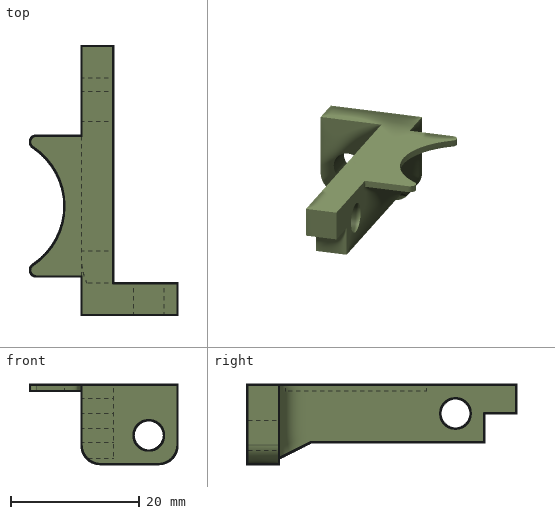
import cadquery as cq
import math

OVERSIZE = 1.0
HOLE_DIAMETER = 4.7

BAR_LENGTH = 42.0
BAR_WIDTH = 5.0
BAR_HEIGHT = 9.0
STEP_LENGTH = 5.0
STEP_HEIGHT = BAR_HEIGHT / 2
BAR_HOLE_FROM_END = 9.5
BAR_HOLE_Y = BAR_LENGTH - BAR_HOLE_FROM_END
BAR_HOLE_Z = -BAR_HEIGHT / 2

FOOT_WIDTH = 15.0
FOOT_THICKNESS = 5.0
FOOT_HEIGHT = 12.42
FOOT_CORNER_RADIUS = 3.0
FOOT_HOLE_INSET = 4.5
FOOT_HOLE_X = FOOT_WIDTH - FOOT_HOLE_INSET
FOOT_HOLE_Z = FOOT_HOLE_INSET - FOOT_HEIGHT

GUSSET_RUN = 5.0
GUSSET_DROP = GUSSET_RUN / 2

CRADLE_THICKNESS = 1.0
CRADLE_REACH = 8.04
CRADLE_WIDTH = 22.0
CRADLE_FROM_END = 14.0
CRADLE_CENTER_Y = BAR_LENGTH - CRADLE_FROM_END - CRADLE_WIDTH / 2
CRADLE_RADIUS = 11.0
TIP_RADIUS = 1.0


def make_bar():
    """Bar with its rear step and the gusset below its front end, as one side profile."""
    step_y = BAR_LENGTH - STEP_LENGTH
    gusset_end_y = FOOT_THICKNESS + GUSSET_RUN
    gusset_bottom = -BAR_HEIGHT - GUSSET_DROP
    return (
        cq.Workplane("YZ")
        .moveTo(0, 0)
        .lineTo(BAR_LENGTH, 0)
        .lineTo(BAR_LENGTH, -STEP_HEIGHT)
        .lineTo(step_y, -STEP_HEIGHT)
        .lineTo(step_y, -BAR_HEIGHT)
        .lineTo(gusset_end_y, -BAR_HEIGHT)
        .lineTo(FOOT_THICKNESS, gusset_bottom)
        .lineTo(0, gusset_bottom)
        .close()
        .extrude(BAR_WIDTH)
    )


def make_rounded_plate(length):
    """Plate with the foot outline and its rounded lower corners, extruded from Y = 0 to the given length."""
    return (
        cq.Workplane("XY")
        .box(FOOT_WIDTH, length, FOOT_HEIGHT, centered=False)
        .translate((0, 0, -FOOT_HEIGHT))
        .edges("|Y and <Z")
        .fillet(FOOT_CORNER_RADIUS)
    )


def make_cradle():
    """Flange whose concave arc runs tangent into the two round tips."""
    half_width = CRADLE_WIDTH / 2
    tip_x = TIP_RADIUS - CRADLE_REACH
    tip_y = half_width - TIP_RADIUS
    center_distance = CRADLE_RADIUS + TIP_RADIUS
    arc_center_x = tip_x - math.sqrt(center_distance**2 - tip_y**2)
    tangent_x = arc_center_x + (tip_x - arc_center_x) * CRADLE_RADIUS / center_distance
    tangent_y = tip_y * CRADLE_RADIUS / center_distance
    return (
        cq.Workplane("XY")
        .moveTo(BAR_WIDTH, half_width)
        .lineTo(tip_x, half_width)
        .threePointArc((-CRADLE_REACH, tip_y), (tangent_x, tangent_y))
        .threePointArc((arc_center_x + CRADLE_RADIUS, 0), (tangent_x, -tangent_y))
        .threePointArc((-CRADLE_REACH, -tip_y), (tip_x, -half_width))
        .lineTo(BAR_WIDTH, -half_width)
        .close()
        .extrude(-CRADLE_THICKNESS)
        .translate((0, CRADLE_CENTER_Y, 0))
    )


def make_bar_hole():
    """Cutter along X through the bar."""
    return (
        cq.Workplane("YZ", origin=(-OVERSIZE, BAR_HOLE_Y, BAR_HOLE_Z))
        .circle(HOLE_DIAMETER / 2)
        .extrude(BAR_WIDTH + 2 * OVERSIZE)
    )


def make_foot_hole():
    """Cutter along Y through the foot."""
    return (
        cq.Workplane("XZ", origin=(FOOT_HOLE_X, -OVERSIZE, FOOT_HOLE_Z))
        .circle(HOLE_DIAMETER / 2)
        .extrude(-(FOOT_THICKNESS + 2 * OVERSIZE))
    )


bar = make_bar().intersect(make_rounded_plate(BAR_LENGTH))
foot = make_rounded_plate(FOOT_THICKNESS)

result = (
    bar.union(foot)
    .union(make_cradle())
    .cut(make_bar_hole())
    .cut(make_foot_hole())
    .clean()
)